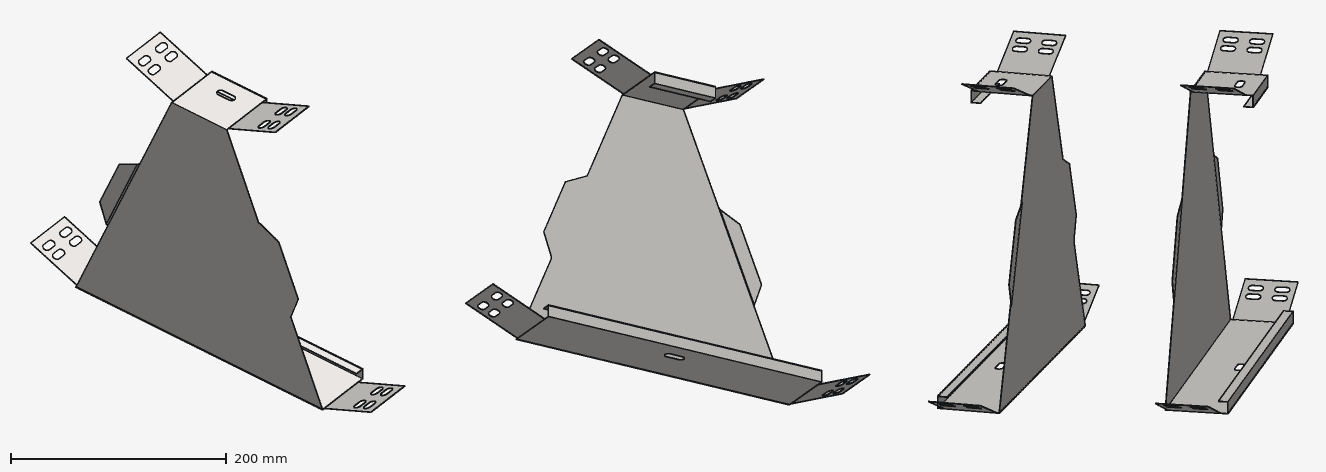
import cadquery as cq
import math


overall_width = 404.5
overall_depth = 61.0
web_height = 275.0
sheet = 0.7
splay_angle = 22.5

plate_length = 60.2
plate_width = 50.0
plate_front_gap = 2.63

slot_width = 7.3
plate_slot_length = 14.0
plate_slot_pitch_along = 12.5
plate_slot_pitch_across = 25.0
plate_slot_end_distance = 12.5
flange_slot_length = 20.2
flange_slot_depth = 40.0

rim_height = 12.0
rim_return = 9.5

tab_reach = 17.5
tab_tip_length = 60.5
tab_root_length = 100.0
joggle_width = 1.5
front_tab_step = 1.2
rear_tab_step = 0.5

splay = math.radians(splay_angle)
channel_depth = overall_depth - front_tab_step
bottom_width = overall_width - 2 * plate_length * math.cos(splay)
top_width = bottom_width - 2 * web_height * math.tan(splay)


def web():
    """Tapered front sheet, front face on Y = 0."""
    outline = [
        (-bottom_width / 2, 0),
        (bottom_width / 2, 0),
        (top_width / 2, web_height),
        (-top_width / 2, web_height),
    ]
    return cq.Workplane("XZ").polyline(outline).close().extrude(-sheet)


def flange(width):
    """Slotted flange on Z = 0 with a hooked rim rising along the back."""
    rim_inner = channel_depth - sheet
    lip_edge = channel_depth - rim_return
    profile = [
        (0, 0),
        (channel_depth, 0),
        (channel_depth, rim_height),
        (lip_edge, rim_height),
        (lip_edge, rim_height - sheet),
        (rim_inner, rim_height - sheet),
        (rim_inner, sheet),
        (0, sheet),
    ]
    folded = cq.Workplane("YZ").polyline(profile).close().extrude(width / 2, both=True)
    slot = (
        cq.Workplane("XY")
        .center(0, flange_slot_depth)
        .slot2D(flange_slot_length, slot_width)
        .extrude(sheet)
    )
    return folded.cut(slot)


def connector_plate(root_overlap):
    """Slotted plate along +X from its bend line, lower face on Z = 0, rooted behind the line by root_overlap."""
    plate = (
        cq.Workplane("XY")
        .box(plate_length + root_overlap, plate_width, sheet, centered=False)
        .translate((-root_overlap, plate_front_gap, 0))
    )
    slots = (
        cq.Workplane("XY")
        .center(
            plate_length - plate_slot_end_distance - plate_slot_pitch_along / 2,
            plate_front_gap + plate_width / 2,
        )
        .rarray(plate_slot_pitch_along, plate_slot_pitch_across, 2, 2)
        .slot2D(plate_slot_length, slot_width, 90)
        .extrude(sheet)
    )
    return plate.cut(slots)


def tilt(body):
    """Swing +X upward by the splay angle about the Y axis."""
    return body.rotate((0, 0, 0), (0, 1, 0), -splay_angle)


def side_tab(offset):
    """Tab on the +X web edge, stepped by offset along Y from the web."""
    overlap = sheet
    profile = [
        (-overlap, 0),
        (0, 0),
        (joggle_width, offset),
        (tab_reach, offset),
        (tab_reach, offset + sheet),
        (joggle_width, offset + sheet),
        (0, sheet),
        (-overlap, sheet),
    ]
    half_tip = tab_tip_length / 2
    half_root = tab_root_length / 2
    outline = [
        (-overlap, -half_root),
        (0, -half_root),
        (tab_reach, -half_tip),
        (tab_reach, half_tip),
        (0, half_root),
        (-overlap, half_root),
    ]
    stepped = cq.Workplane("XY").polyline(profile).close().extrude(half_root, both=True)
    trim = cq.Workplane("XZ").polyline(outline).close().extrude(sheet + front_tab_step, both=True)
    edge_middle = ((bottom_width + top_width) / 4, 0, web_height / 2)
    return tilt(stepped.intersect(trim)).translate(edge_middle)


bottom_flange = flange(bottom_width)
top_flange = flange(top_width).mirror("XY").translate((0, 0, web_height))
result = web().union(bottom_flange).union(top_flange)

top_root_overlap = sheet * math.tan(splay)
bottom_plate = tilt(connector_plate(0)).translate((bottom_width / 2, 0, 0))
top_plate = (
    tilt(connector_plate(top_root_overlap).translate((0, 0, -sheet)))
    .translate((top_width / 2, 0, web_height))
)
for plate in (bottom_plate, top_plate):
    result = result.union(plate).union(plate.mirror("YZ"))

result = result.union(side_tab(rear_tab_step)).union(side_tab(-front_tab_step).mirror("YZ"))